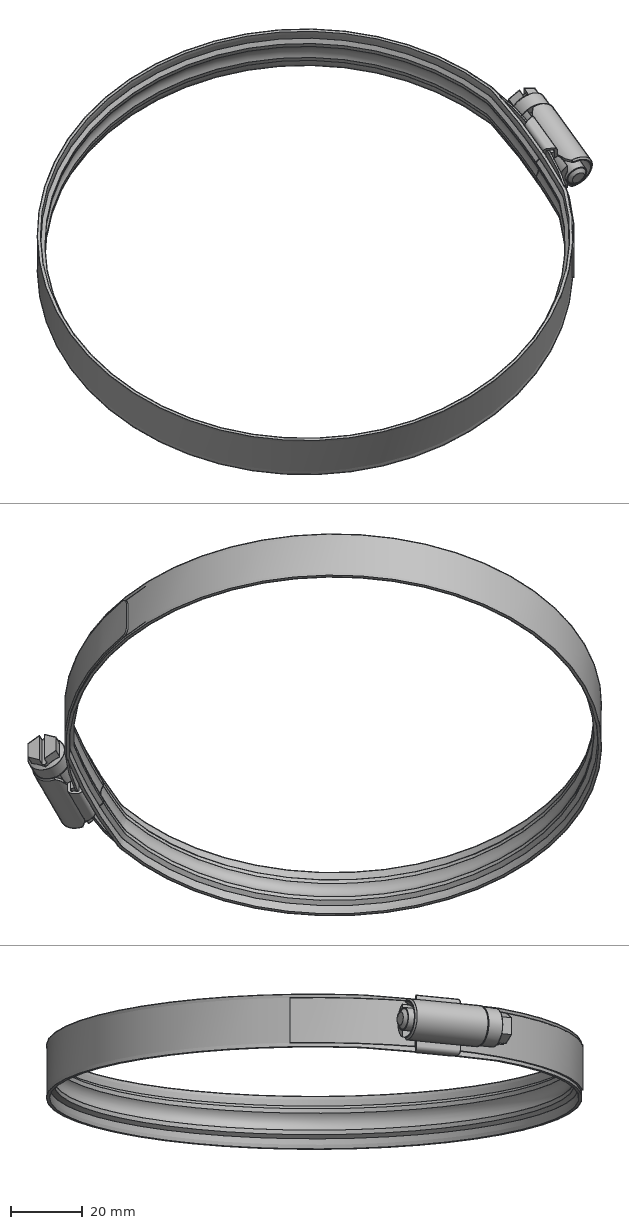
import cadquery as cq
import math

band_inner_radius = 73.5
band_thickness = 0.88
flare_start = 6.4
flare_height = 1.04
flare_out = 0.2
band_half_width = flare_start + flare_height
band_outer_radius = band_inner_radius + band_thickness
rim_radius = band_outer_radius + flare_out

bend_angle = 17.0
bend_radius = 8.0
bow_radius = 199.7

strap_thickness = 0.56
strap_half_width = flare_start
strap_root_angle = 32.0
strap_tail_angle = -60.0
tail_corner_radius = 1.9

liner_half_width = 4.6
liner_height = 1.1
ridge_outer_edge = 3.7
ridge_inner_edge = 2.4
trough_depth = 0.8
liner_gap = 0.2
liner_gap_x = 5.5

overall_length = 159.7
shell_radius = 5.8
axis_y = overall_length - rim_radius - shell_radius
shell_length = 23.0
shell_edge_chamfer = 0.5
sheet = 0.8
ear_half_width = 8.0
ear_bottom_y = 72.7
ear_top_y = 76.5
ear_corner_radius = 1.3
saddle_radius = 5.3
saddle_bottom_y = 74.5
saddle_top_y = 77.0
bridge_length = 12.8
bridge_half_width = 6.2
bridge_top_y = 76.0
skirt_y = 78.9
shoulder_half_length = 9.6
shoulder_y = 77.5
ear_half_length = 6.9
base_half_length = 5.3

collar_radius = 5.5
collar_left = -15.8
collar_right = -shell_length / 2
cone_length = 1.0
cone_small_radius = 3.5
hex_flats = 8.3
hex_left = -19.2
slot_width = 1.5
slot_depth = 2.0
shaft_radius = 3.2
shaft_end = 12.5
dome_radius = 1.9
dome_shoulder_radius = 2.9
dome_length = 1.0


def revolved_arc(profile, radius, centre, start, end):
    """Revolve a (radial offset, z) wire about a vertical axis; angles run from +Y towards +X."""
    wire = profile.val().translate(cq.Vector(radius, 0, 0))
    arc = cq.Solid.revolve(wire, [], end - start, cq.Vector(0, 0, 0), cq.Vector(0, 0, 1))
    return (
        cq.Workplane(arc)
        .rotate((0, 0, 0), (0, 0, 1), 90 - end)
        .translate((centre[0], centre[1], 0))
    )


def flattened_ring(profile):
    """Closed strip: a large arc, two tight bends and a shallow bow below the housing."""
    bend_reach = band_inner_radius - bend_radius
    bend_x = bend_reach * math.sin(math.radians(bend_angle))
    bend_y = bend_reach * math.cos(math.radians(bend_angle))
    bow_angle = math.degrees(math.asin(bend_x / (bow_radius - bend_radius)))
    bow_y = bend_y - math.sqrt((bow_radius - bend_radius) ** 2 - bend_x ** 2)
    ring = revolved_arc(profile, band_inner_radius, (0, 0), bend_angle, 360 - bend_angle)
    ring = ring.union(revolved_arc(profile, bow_radius, (0, bow_y), -bow_angle, bow_angle))
    ring = ring.union(revolved_arc(profile, bend_radius, (bend_x, bend_y), bow_angle, bend_angle))
    return ring.union(revolved_arc(profile, bend_radius, (-bend_x, bend_y), -bend_angle, -bow_angle))


def make_band():
    """Ring with flared edges, joined to the narrower strap that overlaps it on the outside."""
    ring_profile = (
        cq.Workplane("XZ")
        .moveTo(0, -flare_start)
        .lineTo(0, flare_start)
        .lineTo(flare_out, band_half_width)
        .lineTo(flare_out + band_thickness, band_half_width)
        .lineTo(band_thickness, flare_start)
        .lineTo(band_thickness, -flare_start)
        .lineTo(flare_out + band_thickness, -band_half_width)
        .lineTo(flare_out, -band_half_width)
        .close()
    )
    return flattened_ring(ring_profile).union(make_strap())


def make_strap():
    """Circular strap lying on the band, with rounded corners at its free tail."""
    strap_profile = cq.Workplane("XZ").rect(strap_thickness, 2 * strap_half_width)
    middle_radius = band_outer_radius + strap_thickness / 2
    strap = revolved_arc(strap_profile, middle_radius, (0, 0), strap_tail_angle, strap_root_angle)
    tail_x = middle_radius * math.sin(math.radians(strap_tail_angle))
    tail_y = middle_radius * math.cos(math.radians(strap_tail_angle))
    for z in (-strap_half_width, strap_half_width):
        corner = cq.selectors.NearestToPointSelector((tail_x, tail_y, z))
        strap = strap.edges(corner).fillet(tail_corner_radius)
    return strap


def make_liner():
    """Open strip lining the band, its two ends meeting at a narrow slit under the housing."""
    profile = (
        cq.Workplane("XZ")
        .moveTo(0, -liner_half_width)
        .lineTo(0, liner_half_width)
        .lineTo(-liner_height, ridge_outer_edge)
        .lineTo(-liner_height, ridge_inner_edge)
        .threePointArc((trough_depth - liner_height, 0), (-liner_height, -ridge_inner_edge))
        .lineTo(-liner_height, -ridge_outer_edge)
        .close()
    )
    slit = cq.Workplane("XY").box(liner_gap, band_inner_radius, 2 * band_half_width)
    return flattened_ring(profile).cut(slit.translate((liner_gap_x, band_inner_radius, 0)))


def x_cylinder(radius, left, right):
    return (
        cq.Workplane("YZ", origin=(left, axis_y, 0))
        .circle(radius)
        .extrude(right - left)
    )


def y_z_box(length, bottom_y, top_y, half_width):
    return cq.Workplane("XY").box(length, top_y - bottom_y, 2 * half_width).translate(
        (0, (bottom_y + top_y) / 2, 0)
    )


def make_housing():
    """Tunnel over the screw, narrowing to a bracket around the strap, with a saddle on the strap."""
    half_length = shell_length / 2
    tunnel = x_cylinder(shell_radius, -half_length, half_length).edges().chamfer(shell_edge_chamfer)
    bracket = y_z_box(shell_length, ear_bottom_y, ear_top_y, ear_half_width)
    bracket = bracket.edges("|X").fillet(ear_corner_radius)
    bracket_space = y_z_box(shell_length, ear_bottom_y + sheet, ear_top_y - sheet, ear_half_width - sheet)
    bracket_space = bracket_space.edges("|X").fillet(ear_corner_radius - sheet)
    bore = x_cylinder(shell_radius - sheet, -half_length, half_length)
    side_outline = [
        (half_length, axis_y + shell_radius),
        (half_length, skirt_y),
        (shoulder_half_length, shoulder_y),
        (ear_half_length, ear_top_y),
        (base_half_length, ear_bottom_y),
    ]
    mirrored = [(-x, y) for x, y in reversed(side_outline)]
    outline = cq.Workplane("XY").polyline(side_outline + mirrored).close()
    wrap = tunnel.union(bracket).cut(bracket_space).cut(bore)
    wrap = wrap.intersect(outline.extrude(ear_half_width, both=True))
    saddle = x_cylinder(saddle_radius, -half_length, half_length)
    saddle = saddle.intersect(y_z_box(shell_length, saddle_bottom_y, saddle_top_y, saddle_radius))
    saddle = saddle.cut(x_cylinder(shaft_radius, -half_length, half_length))
    bridge = y_z_box(bridge_length, saddle_bottom_y, bridge_top_y, bridge_half_width)
    strap_radius = band_outer_radius + strap_thickness
    strap_bed = cq.Workplane("XY").circle(strap_radius).extrude(ear_half_width, both=True)
    return wrap.union(saddle.union(bridge).cut(strap_bed))


def make_screw():
    """Slotted hexagon head, coned collar and plain shaft with a domed end."""
    body = (
        cq.Workplane("XY")
        .moveTo(collar_left - cone_length, 0)
        .lineTo(collar_left - cone_length, cone_small_radius)
        .lineTo(collar_left, collar_radius)
        .lineTo(collar_right, collar_radius)
        .lineTo(collar_right, shaft_radius)
        .lineTo(shaft_end, shaft_radius)
        .lineTo(shaft_end, dome_shoulder_radius)
        .lineTo(shaft_end + dome_length, dome_radius)
        .lineTo(shaft_end + dome_length, 0)
        .close()
        .revolve(360, (0, 0, 0), (1, 0, 0))
        .translate((0, axis_y, 0))
    )
    head = (
        cq.Workplane("YZ", origin=(hex_left, axis_y, 0))
        .transformed(rotate=(0, 0, 90))
        .polygon(6, hex_flats / math.cos(math.pi / 6))
        .extrude(collar_left - hex_left)
    )
    slot = cq.Workplane("XY").box(2 * slot_depth, slot_width, 2 * hex_flats)
    slot = slot.translate((hex_left, axis_y, 0))
    return body.union(head).cut(slot)


band = make_band()
liner = make_liner()
housing = make_housing()
screw = make_screw()

result = cq.Compound.makeCompound([band.val(), liner.val(), housing.val(), screw.val()])